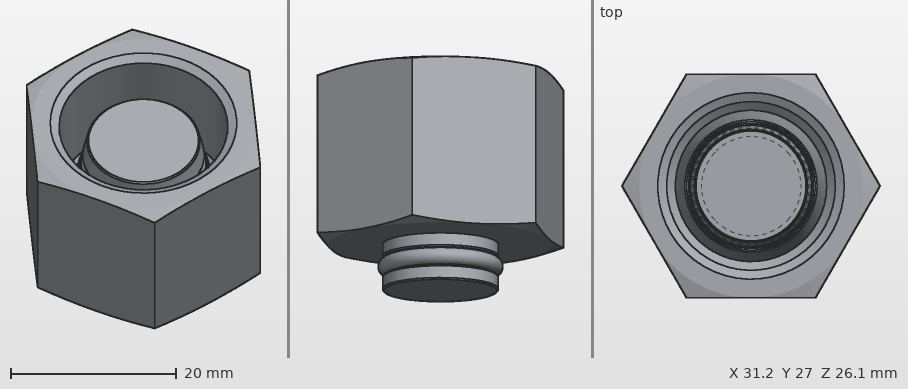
import cadquery as cq
import math

TOTAL_HEIGHT = 26.13
HEX_ACROSS_CORNERS = 31.18
NUT_BOTTOM = 5.67
HEX_CHAMFER_ANGLE = 15.0

BORE_RADIUS = 20.35 / 2
MOUTH_RADIUS = 11.25
MOUTH_CHAMFER_ANGLE = 30.0

STEM_RADIUS = 14.0 / 2
SHOULDER_RADIUS = 9.15
CONE_TIP_RADIUS = 6.83
CONE_HALF_ANGLE = 12.0
PLUG_TOP = TOTAL_HEIGHT - 3.2
EDGE_CHAMFER = 0.2

GROOVE_FLOOR_RADIUS = 12.0 / 2
STEM_GROOVE_WIDTH = 2.2
CONE_GROOVE_WIDTH = 2.65
RING_TUBE_RADIUS = 1.0
RING_OUTER_RADIUS = 7.55
STEM_GROOVE_CENTER = 2.93
STEM_RING_CENTER = 2.95
CONE_GROOVE_CENTER = 18.8

HEX_CORNER_RADIUS = HEX_ACROSS_CORNERS / 2
HEX_FLAT_RADIUS = HEX_CORNER_RADIUS * math.cos(math.radians(30))
HEX_CHAMFER_HEIGHT = (HEX_CORNER_RADIUS - HEX_FLAT_RADIUS) * math.tan(math.radians(HEX_CHAMFER_ANGLE))
MOUTH_DEPTH = (MOUTH_RADIUS - BORE_RADIUS) * math.tan(math.radians(MOUTH_CHAMFER_ANGLE))
CONE_SLOPE = math.tan(math.radians(CONE_HALF_ANGLE))
CONE_TOP = PLUG_TOP - EDGE_CHAMFER
SHOULDER_TOP = CONE_TOP - (SHOULDER_RADIUS - CONE_TIP_RADIUS) / CONE_SLOPE
SHOULDER_BOTTOM = SHOULDER_TOP - (SHOULDER_RADIUS - STEM_RADIUS)
BORE_BOTTOM = SHOULDER_TOP + (BORE_RADIUS - SHOULDER_RADIUS)


def revolve_profile(points):
    """Revolve a closed (radius, height) outline around the Z axis."""
    return cq.Workplane("XZ").polyline(points).close().revolve(360, (0, 0), (0, 1))


def cone_radius(z):
    """Radius of the sealing cone at height z."""
    return CONE_TIP_RADIUS + (CONE_TOP - z) * CONE_SLOPE


def stem_radius(z):
    """Radius of the cylindrical stem, the same at every height."""
    return STEM_RADIUS


def groove_outline(surface_radius, center, width):
    """Groove points from the lower to the upper edge, with chamfered edges."""
    low = center - width / 2
    high = center + width / 2
    outer_low = low - EDGE_CHAMFER
    outer_high = high + EDGE_CHAMFER
    return [
        (surface_radius(outer_low), outer_low),
        (surface_radius(low) - EDGE_CHAMFER, low),
        (GROOVE_FLOOR_RADIUS, low),
        (GROOVE_FLOOR_RADIUS, high),
        (surface_radius(high) - EDGE_CHAMFER, high),
        (surface_radius(outer_high), outer_high),
    ]


def make_nut():
    """Hexagonal nut with chamfered corners and a bore seating the plug shoulder."""
    height = TOTAL_HEIGHT - NUT_BOTTOM
    hexagon = (
        cq.Workplane("XY").workplane(offset=NUT_BOTTOM).polygon(6, HEX_ACROSS_CORNERS).extrude(height)
    )
    corner_envelope = revolve_profile([
        (0, NUT_BOTTOM),
        (HEX_FLAT_RADIUS, NUT_BOTTOM),
        (HEX_CORNER_RADIUS, NUT_BOTTOM + HEX_CHAMFER_HEIGHT),
        (HEX_CORNER_RADIUS, TOTAL_HEIGHT - HEX_CHAMFER_HEIGHT),
        (HEX_FLAT_RADIUS, TOTAL_HEIGHT),
        (0, TOTAL_HEIGHT),
    ])
    bore = revolve_profile([
        (0, NUT_BOTTOM),
        (STEM_RADIUS, NUT_BOTTOM),
        (STEM_RADIUS, SHOULDER_BOTTOM),
        (BORE_RADIUS, BORE_BOTTOM),
        (BORE_RADIUS, TOTAL_HEIGHT - MOUTH_DEPTH),
        (MOUTH_RADIUS, TOTAL_HEIGHT),
        (0, TOTAL_HEIGHT),
    ])
    return hexagon.intersect(corner_envelope).cut(bore)


def make_plug():
    """Solid plug with a grooved stem, a shoulder and a grooved sealing cone."""
    return revolve_profile([
        (0, 0),
        (STEM_RADIUS - EDGE_CHAMFER, 0),
        (STEM_RADIUS, EDGE_CHAMFER),
        *groove_outline(stem_radius, STEM_GROOVE_CENTER, STEM_GROOVE_WIDTH),
        (STEM_RADIUS, SHOULDER_BOTTOM),
        (SHOULDER_RADIUS, SHOULDER_TOP),
        *groove_outline(cone_radius, CONE_GROOVE_CENTER, CONE_GROOVE_WIDTH),
        (CONE_TIP_RADIUS, CONE_TOP),
        (CONE_TIP_RADIUS - EDGE_CHAMFER, PLUG_TOP),
        (0, PLUG_TOP),
    ])


def make_o_ring(center):
    """Round-section O-ring, flattened on the inside where it sits on the groove floor."""
    tube_center = RING_OUTER_RADIUS - RING_TUBE_RADIUS
    half_flat = math.sqrt(RING_TUBE_RADIUS ** 2 - (tube_center - GROOVE_FLOOR_RADIUS) ** 2)
    return (
        cq.Workplane("XZ")
        .moveTo(GROOVE_FLOOR_RADIUS, center - half_flat)
        .threePointArc((RING_OUTER_RADIUS, center), (GROOVE_FLOOR_RADIUS, center + half_flat))
        .close()
        .revolve(360, (0, 0), (0, 1))
    )


nut = make_nut()
plug = make_plug()
o_rings = [make_o_ring(center) for center in (STEM_RING_CENTER, CONE_GROOVE_CENTER)]

result = cq.Compound.makeCompound([nut.val(), plug.val(), *[ring.val() for ring in o_rings]])